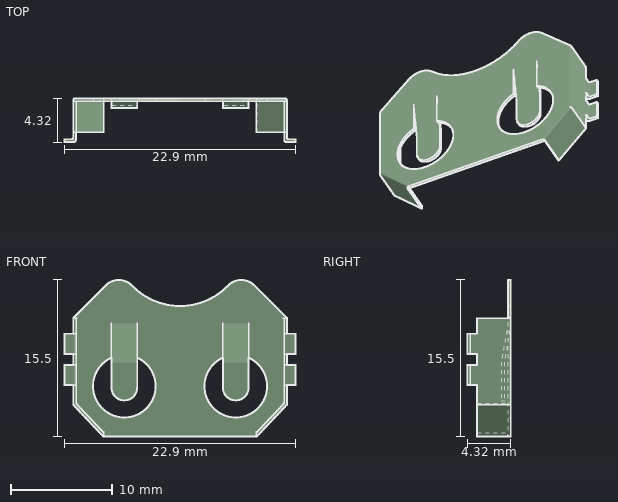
import cadquery as cq
import math

thickness = 0.3
overall_width = 22.85
overall_depth = 4.32
overall_height = 15.5
outer_bend_radius = 0.2
inner_bend_radius = 0.1

half_width = 10.58
half_bottom = 7.6
lower_corner_z = 3.15
lobe_x = 6.05
lobe_radius = 1.8
scoop_bottom_z = 12.92

wall_depth = 3.35
flap_end_x = 7.52
tab_height = 2.01
tab_bottoms = (5.07, 8.15)

spring_x = 5.5
window_radius = 3.09
window_z = 4.98
tongue_width = 2.55
tongue_top_z = 11.2
tongue_bend_z = 7.34
tongue_bottom_z = 3.57
tongue_reach = 0.95

lobe_z = overall_height - lobe_radius
diagonal = math.sqrt(0.5)
shoulder_z = lobe_z + lobe_radius / diagonal - (half_width - lobe_x)

scoop_drop = lobe_z - scoop_bottom_z
scoop_radius = (lobe_x**2 + scoop_drop**2 - lobe_radius**2) / (2 * (lobe_radius + scoop_drop))
tangent_ratio = lobe_radius / (scoop_radius + lobe_radius)
tangent_x = lobe_x * (1 - tangent_ratio)
tangent_z = lobe_z + (scoop_radius - scoop_drop) * tangent_ratio


def both_sides(left):
    """Join a left-hand feature with its mirror image."""
    return left.union(left.mirror("YZ"))


def make_plate():
    """Flat back plate with two rounded lobes and a scooped top edge."""
    shoulder_tangent_x = lobe_x + lobe_radius * diagonal
    shoulder_tangent_z = lobe_z + lobe_radius * diagonal
    return (
        cq.Workplane("XZ")
        .moveTo(-half_bottom, 0)
        .lineTo(-half_width, lower_corner_z)
        .lineTo(-half_width, shoulder_z)
        .lineTo(-shoulder_tangent_x, shoulder_tangent_z)
        .threePointArc((-lobe_x, overall_height), (-tangent_x, tangent_z))
        .threePointArc((0, scoop_bottom_z), (tangent_x, tangent_z))
        .threePointArc((lobe_x, overall_height), (shoulder_tangent_x, shoulder_tangent_z))
        .lineTo(half_width, shoulder_z)
        .lineTo(half_width, lower_corner_z)
        .lineTo(half_bottom, 0)
        .close()
        .extrude(thickness)
    )


def make_left_wall():
    """Upright wall with a slanted lower flap that ends on an upright face."""
    slant = math.atan2(lower_corner_z, half_width - half_bottom)
    inner_x = half_width - thickness
    rise = math.tan(slant)
    inner_end_z = thickness / math.cos(slant) - (half_bottom - flap_end_x) * rise
    inner_corner_z = inner_end_z + (inner_x - flap_end_x) * rise
    return (
        cq.Workplane("XZ")
        .moveTo(-half_width, shoulder_z)
        .lineTo(-half_width, lower_corner_z)
        .lineTo(-half_bottom, 0)
        .lineTo(-flap_end_x, 0)
        .lineTo(-flap_end_x, inner_end_z)
        .lineTo(-inner_x, inner_corner_z)
        .lineTo(-inner_x, shoulder_z)
        .close()
        .extrude(wall_depth)
    )


def round_wall_bends(body):
    """Round the bends between the plate and the walls, outside and inside."""
    middle_z = (shoulder_z + lower_corner_z) / 2
    slant_x = (half_width + half_bottom) / 2
    slant_z = lower_corner_z / 2
    for y, inset, radius in (
        (0, 0, outer_bend_radius),
        (-thickness, thickness, inner_bend_radius),
    ):
        picked = []
        for side in (-1, 1):
            upright = (side * (half_width - inset), y, middle_z)
            slanted = (side * (slant_x - inset * diagonal), y, slant_z + inset * diagonal)
            for point in (upright, slanted):
                picked += body.edges(cq.selectors.NearestToPointSelector(point)).vals()
        body = body.newObject(picked).fillet(radius)
    return body


def make_left_tab(bottom_z):
    """Tab that runs forward from the wall and turns outward."""
    inner_x = half_width - thickness
    half_overall = overall_width / 2
    foot_back = overall_depth - thickness
    tab = (
        cq.Workplane("XY", origin=(0, 0, bottom_z))
        .moveTo(-inner_x, -wall_depth)
        .lineTo(-inner_x, -overall_depth)
        .lineTo(-half_overall, -overall_depth)
        .lineTo(-half_overall, -foot_back)
        .lineTo(-half_width, -foot_back)
        .lineTo(-half_width, -wall_depth)
        .close()
        .extrude(tab_height)
    )
    middle_z = bottom_z + tab_height / 2
    outer_corner = cq.selectors.NearestToPointSelector((-inner_x, -overall_depth, middle_z))
    tab = tab.edges(outer_corner).fillet(outer_bend_radius)
    inner_corner = cq.selectors.NearestToPointSelector((-half_width, -foot_back, middle_z))
    return tab.edges(inner_corner).fillet(inner_bend_radius)


def make_left_opening():
    """Round window joined to the slot that the tongue is bent out of."""
    window = cq.Workplane("XZ").center(-spring_x, window_z).circle(window_radius).extrude(thickness)
    slot = (
        cq.Workplane("XZ")
        .center(-spring_x, (window_z + tongue_top_z) / 2)
        .rect(tongue_width, tongue_top_z - window_z)
        .extrude(thickness)
    )
    return window.union(slot)


def make_left_tongue():
    """Tongue that slopes forward, then hangs parallel to the plate with a round tip."""
    back = tongue_reach - thickness
    tip_radius = tongue_width / 2
    tip_z = tongue_bottom_z + tip_radius
    strip = (
        cq.Workplane("YZ", origin=(-spring_x, 0, 0))
        .moveTo(0, tongue_top_z)
        .lineTo(-back, tongue_bend_z)
        .lineTo(-back, tip_z)
        .lineTo(-tongue_reach, tip_z)
        .lineTo(-tongue_reach, tongue_bend_z)
        .lineTo(-thickness, tongue_top_z)
        .close()
        .extrude(tongue_width / 2, both=True)
    )
    tip = cq.Workplane("XZ", origin=(-spring_x, -back, tip_z)).circle(tip_radius).extrude(thickness)
    return strip.union(tip)


body = make_plate().union(both_sides(make_left_wall()))
body = round_wall_bends(body)
body = body.cut(both_sides(make_left_opening()))
body = body.union(both_sides(make_left_tongue()))
for tab_bottom in tab_bottoms:
    body = body.union(both_sides(make_left_tab(tab_bottom)))

result = body